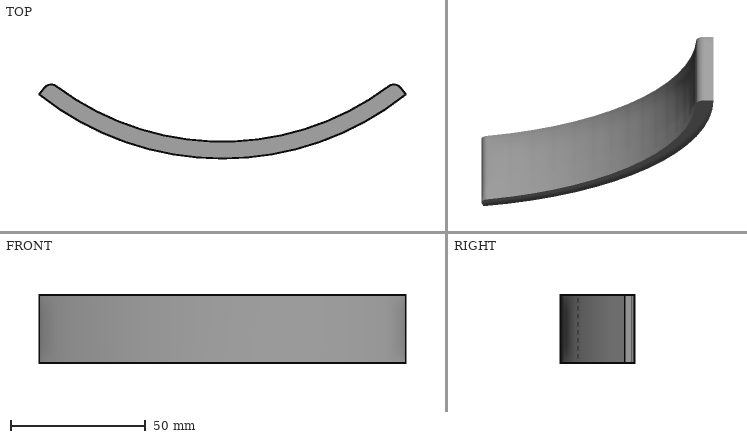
import cadquery as cq
import math

outer_radius = 109.22
thickness = 6.35
chord_width = 136.33
height = 25.4
end_fillet_radius = thickness / 2

inner_radius = outer_radius - thickness
half_angle = math.asin(chord_width / 2 / outer_radius)


def arc_point(radius, angle):
    """Point at an angle from the -Y direction, positive towards +X."""
    return (radius * math.sin(angle), -radius * math.cos(angle))


def curved_bar():
    """Arc-shaped bar with radial end faces, extruded along Z."""
    return (
        cq.Workplane("XY")
        .moveTo(*arc_point(outer_radius, -half_angle))
        .threePointArc(arc_point(outer_radius, 0), arc_point(outer_radius, half_angle))
        .lineTo(*arc_point(inner_radius, half_angle))
        .threePointArc(arc_point(inner_radius, 0), arc_point(inner_radius, -half_angle))
        .close()
        .extrude(height)
    )


def round_inner_ends(bar):
    """Round the upright edge where each end face meets the inner face."""
    for angle in (-half_angle, half_angle):
        x, y = arc_point(inner_radius, angle)
        corner = (x, y, height / 2)
        bar = bar.edges("|Z").edges(cq.NearestToPointSelector(corner)).fillet(end_fillet_radius)
    return bar


result = round_inner_ends(curved_bar())